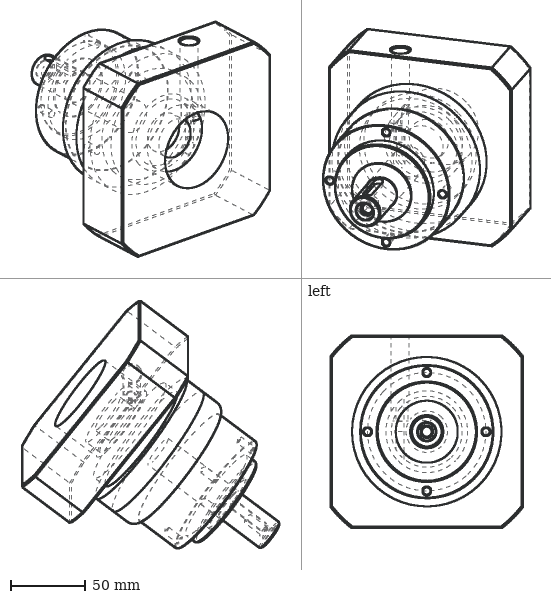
import cadquery as cq
import math


SEAL_FACE_X = 36.0
COLLAR_FACE_X = 37.5
FLANGE_FACE_X = 46.2
SHOULDER_X = 78.0
JOINT_X = 96.0
RING_REAR_X = 110.5
PLATE_FRONT_X = 120.1
PLATE_REAR_X = 162.5

SHAFT_DIA = 22.0
SHAFT_TIP_CHAMFER = 1.0
SHAFT_STEP_DIA = 22.5
SHAFT_STEP_X = 35.6
KEYWAY_WIDTH = 6.0
KEYWAY_LENGTH = 29.9
KEYWAY_START_X = 3.2
KEYWAY_DEPTH = 3.2
CENTRE_MOUTH_DIA = 13.0
CENTRE_CONE_DIA = 12.0
CENTRE_BORE_DIA = 8.5
CENTRE_BORE_END_X = 5.8
CENTRE_DRILL_DIA = 6.8
CENTRE_DRILL_END_X = 19.5
CENTRE_MOUTH_ANGLE = 120.0
CENTRE_CONE_ANGLE = 60.0
DRILL_TIP_ANGLE = 118.0

SEAL_DIA = 42.0
COLLAR_DIA = 68.0
COLLAR_CHAMFER_LENGTH = 1.1
COLLAR_CHAMFER_DEPTH = 0.8
FLANGE_DIA = 90.0
FLANGE_CHAMFER = 0.5
BODY_DIA = 100.9
SHOULDER_RADIUS = 6.0
BOLT_CIRCLE_DIA = 80.0
BOLT_COUNT = 4
BOLT_HOLE_DIA = 5.0
BOLT_MOUTH_DIA = 6.0
BOLT_HOLE_DEPTH = 11.4

NECK_DIA = 80.0

PLATE_SIDE = 130.0
PLATE_CORNER_DIA = 165.0
PLATE_CHAMFER = 1.0
CAVITY_DIA = 55.2
ACCESS_X = 132.6
ACCESS_DIA = 12.0
ACCESS_MOUTH_DIA = 14.0

CLAMP_DIA = 48.0
CLAMP_BORE_DIA = 28.0
CLAMP_FRONT_X = 127.2
SCREW_X = 133.2
SCREW_Y = 18.0
SCREW_HOLE_DIA = 5.5
SCREW_MOUTH_DIA = 6.5
SCREW_SEAT_WIDTH = 10.7
SCREW_SEAT_Z = 7.3
CLAMP_LENGTH = 2 * (SCREW_X - CLAMP_FRONT_X)


def revolve_about_x(profile):
    """Turn a closed profile of (x, radius) sketched on XY about the X axis."""
    return profile.close().revolve(360, (0, 0, 0), (1, 0, 0))


def cylinder_along_x(diameter, start_x, end_x):
    return cq.Workplane("YZ", origin=(start_x, 0, 0)).circle(diameter / 2).extrude(end_x - start_x)


def cone_length(large_dia, small_dia, angle):
    """Axial length of a cone with the given included angle between two diameters."""
    return (large_dia - small_dia) / 2 / math.tan(math.radians(angle / 2))


def drill_tip_length(diameter):
    return cone_length(diameter, 0, DRILL_TIP_ANGLE)


def centre_hole():
    """Shaft tip hole: two-stage conical mouth, plain bore, drilled core with a pointed end."""
    bore_radius = CENTRE_BORE_DIA / 2
    drill_radius = CENTRE_DRILL_DIA / 2
    cone_start_x = cone_length(CENTRE_MOUTH_DIA, CENTRE_CONE_DIA, CENTRE_MOUTH_ANGLE)
    cone_end_x = cone_start_x + cone_length(CENTRE_CONE_DIA, CENTRE_BORE_DIA, CENTRE_CONE_ANGLE)
    return revolve_about_x(
        cq.Workplane("XY")
        .moveTo(0, 0)
        .lineTo(0, CENTRE_MOUTH_DIA / 2)
        .lineTo(cone_start_x, CENTRE_CONE_DIA / 2)
        .lineTo(cone_end_x, bore_radius)
        .lineTo(CENTRE_BORE_END_X, bore_radius)
        .lineTo(CENTRE_BORE_END_X, drill_radius)
        .lineTo(CENTRE_DRILL_END_X, drill_radius)
        .lineTo(CENTRE_DRILL_END_X + drill_tip_length(CENTRE_DRILL_DIA), 0)
    )


def keyway():
    return (
        cq.Workplane("XY", origin=(KEYWAY_START_X + KEYWAY_LENGTH / 2, 0, SHAFT_DIA / 2 - KEYWAY_DEPTH))
        .slot2D(KEYWAY_LENGTH, KEYWAY_WIDTH)
        .extrude(SHAFT_DIA)
    )


def make_shaft():
    journal = cylinder_along_x(SHAFT_DIA, 0, SHAFT_STEP_X).faces("<X").chamfer(SHAFT_TIP_CHAMFER)
    step = cylinder_along_x(SHAFT_STEP_DIA, SHAFT_STEP_X, JOINT_X)
    return journal.union(step).cut(centre_hole()).cut(keyway())


def bolt_hole():
    """Blind hole on the X axis, opening at the flange face, with a 45 degree mouth."""
    radius = BOLT_HOLE_DIA / 2
    mouth_radius = BOLT_MOUTH_DIA / 2
    end_x = FLANGE_FACE_X + BOLT_HOLE_DEPTH
    return revolve_about_x(
        cq.Workplane("XY")
        .moveTo(FLANGE_FACE_X, 0)
        .lineTo(FLANGE_FACE_X, mouth_radius)
        .lineTo(FLANGE_FACE_X + mouth_radius - radius, radius)
        .lineTo(end_x, radius)
        .lineTo(end_x + drill_tip_length(BOLT_HOLE_DIA), 0)
    )


def make_collar():
    """Pilot collar with a shallow chamfer around its front edge."""
    radius = COLLAR_DIA / 2
    return revolve_about_x(
        cq.Workplane("XY")
        .moveTo(COLLAR_FACE_X, 0)
        .lineTo(COLLAR_FACE_X, radius - COLLAR_CHAMFER_DEPTH)
        .lineTo(COLLAR_FACE_X + COLLAR_CHAMFER_LENGTH, radius)
        .lineTo(FLANGE_FACE_X, radius)
        .lineTo(FLANGE_FACE_X, 0)
    )


def make_housing():
    seal = cylinder_along_x(SEAL_DIA, SEAL_FACE_X, COLLAR_FACE_X)
    collar = make_collar()
    flange = cylinder_along_x(FLANGE_DIA, FLANGE_FACE_X, SHOULDER_X).faces("<X").chamfer(FLANGE_CHAMFER)
    body = cylinder_along_x(BODY_DIA, SHOULDER_X, JOINT_X).faces("<X").edges().fillet(SHOULDER_RADIUS)
    housing = seal.union(collar).union(flange).union(body)
    housing = housing.cut(cylinder_along_x(SHAFT_STEP_DIA, SEAL_FACE_X, JOINT_X))
    for index in range(BOLT_COUNT):
        hole = bolt_hole().translate((0, BOLT_CIRCLE_DIA / 2, 0))
        housing = housing.cut(hole.rotate((0, 0, 0), (1, 0, 0), index * 360 / BOLT_COUNT))
    return housing


def make_rear_ring():
    body = cylinder_along_x(BODY_DIA, JOINT_X, RING_REAR_X)
    neck = cylinder_along_x(NECK_DIA, RING_REAR_X, PLATE_FRONT_X)
    return body.union(neck)


def vertical_hole(x, bottom_z, top_z, diameter, mouth_dia):
    """Hole cutter standing over (x, SCREW_Y), with a 45 degree mouth at its top."""
    radius = diameter / 2
    mouth_radius = mouth_dia / 2
    return (
        cq.Workplane("XZ", origin=(x, SCREW_Y, 0))
        .moveTo(0, bottom_z)
        .lineTo(radius, bottom_z)
        .lineTo(radius, top_z - (mouth_radius - radius))
        .lineTo(mouth_radius, top_z)
        .lineTo(0, top_z)
        .close()
        .revolve(360, (0, 0, 0), (0, 1, 0))
    )


def access_hole():
    """Hole down from the plate's top into the cavity."""
    return vertical_hole(ACCESS_X, 0, PLATE_SIDE / 2, ACCESS_DIA, ACCESS_MOUTH_DIA)


def make_plate():
    thickness = PLATE_REAR_X - PLATE_FRONT_X
    square = cq.Workplane("YZ", origin=(PLATE_FRONT_X, 0, 0)).rect(PLATE_SIDE, PLATE_SIDE).extrude(thickness)
    corner_round = cylinder_along_x(PLATE_CORNER_DIA, PLATE_FRONT_X, PLATE_REAR_X)
    plate = square.intersect(corner_round).faces("<X or >X").chamfer(PLATE_CHAMFER)
    cavity = cylinder_along_x(CAVITY_DIA, CLAMP_FRONT_X, PLATE_REAR_X)
    return plate.cut(cavity).cut(access_hole())


def screw_seat():
    """Flat-bottomed pocket with a round inner end, open towards +Y and +Z."""
    reach = CLAMP_DIA / 2
    seat = cq.Workplane("XY", origin=(SCREW_X, SCREW_Y, SCREW_SEAT_Z))
    round_end = seat.circle(SCREW_SEAT_WIDTH / 2).extrude(reach)
    open_end = seat.center(0, reach / 2).rect(SCREW_SEAT_WIDTH, reach).extrude(reach)
    return round_end.union(open_end)


def screw_hole():
    """Hole from the seat through the lower side of the clamp ring."""
    return vertical_hole(SCREW_X, -CLAMP_DIA / 2, SCREW_SEAT_Z, SCREW_HOLE_DIA, SCREW_MOUTH_DIA)


def make_clamp_ring():
    rear_x = CLAMP_FRONT_X + CLAMP_LENGTH
    ring = cylinder_along_x(CLAMP_DIA, CLAMP_FRONT_X, rear_x)
    ring = ring.cut(cylinder_along_x(CLAMP_BORE_DIA, CLAMP_FRONT_X, rear_x))
    return ring.cut(screw_seat()).cut(screw_hole())


shaft = make_shaft()
housing = make_housing()
rear_ring = make_rear_ring()
plate = make_plate()
clamp_ring = make_clamp_ring()

result = cq.Compound.makeCompound(
    [shaft.val(), housing.val(), rear_ring.val(), plate.val(), clamp_ring.val()]
)